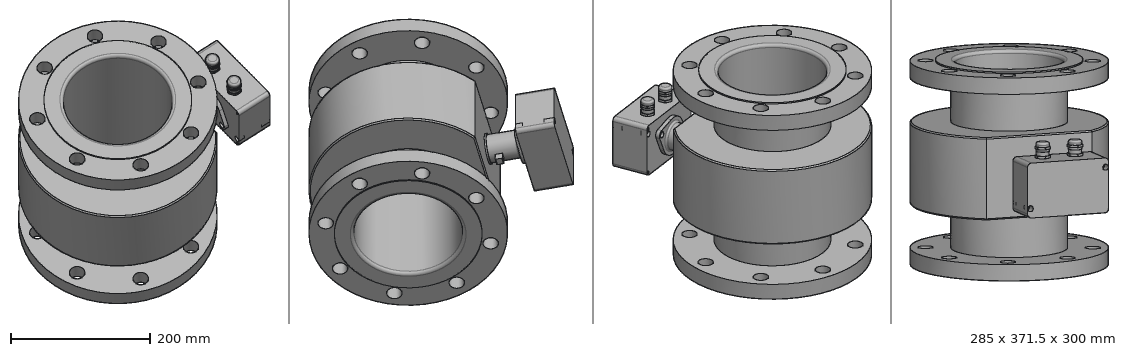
import cadquery as cq
import math

TUBE_LENGTH = 300.0
FLANGE_DIAMETER = 285.0
FLANGE_THICKNESS = 24.0
RAISED_FACE_DIAMETER = 212.0
RAISED_FACE_HEIGHT = 2.0
PIPE_DIAMETER = 168.0
BORE_DIAMETER = 156.0
BORE_LIP_RADIUS = 5.0
BOLT_COUNT = 8
BOLT_CIRCLE = 240.0
BOLT_HOLE_DIAMETER = 22.0

HOUSING_DIAMETER = 285.0
HOUSING_HEIGHT = 120.0
HOUSING_CHAMFER = 2.0
HOUSING_FLAT_Y = 117.0

BOX_BACK_Y = 229.0
BOX_DEPTH = 57.0
BOX_FRONT_Y = BOX_BACK_Y - BOX_DEPTH
PAD_HEIGHT = 0.5
PLATE_THICKNESS = 6.5
PLATE_BACK_Y = BOX_FRONT_Y - PAD_HEIGHT
PLATE_FRONT_Y = PLATE_BACK_Y - PLATE_THICKNESS

NECK_DIAMETER = 41.0
COLLAR_DIAMETER = 45.0
COLLAR_LENGTH = 2.5
NECK_FILLET = 3.0
PAD_DIAMETER = 39.7
PLATE_RADIUS = 29.0
EAR_RADIUS = 7.5
EAR_OFFSET = 35.0
EAR_TILT = 26.0
EAR_HOLE_DIAMETER = 9.0
LUG_WIDTH = 11.0
LUG_DROP = 30.0
LUG_CHAMFER = 1.0
LUG_Y = 134.5

BOX_WIDTH = 125.0
BOX_HEIGHT = 80.0
BOX_FILLET = 6.0
SCREW_X = 58.0
SCREW_Z = 26.5
SCREW_HOLE_DIAMETER = 4.8
SCREW_RECESS_DIAMETER = 8.5
FRONT_RECESS_DEPTH = 10.5
BACK_RECESS_DEPTH = 15.0
CORNER_HOLE_DIAMETER = 3.24
CORNER_HOLE_X = 58.5
CORNER_HOLE_Z = 35.0
CORNER_HOLE_DEPTH = 10.0

GLAND_SPACING = 50.0
GLAND_Y = 193.0
GLAND_HEX_FLATS = 19.8
GLAND_HEX_CHAMFER = 1.0
GLAND_HEX_HEIGHT = 3.5
GLAND_STEM_DIAMETER = 18.6
GLAND_CAP_DIAMETER = 19.8
GLAND_CAP_FILLET = 3.5
GLAND_STEM_TOP = 9.5
GLAND_CAP_HEX_BOTTOM = 13.0
GLAND_HEIGHT = 23.0


def disc_z(diameter, bottom, top):
    """Cylinder along Z between two heights."""
    return cq.Workplane("XY").workplane(offset=bottom).circle(diameter / 2).extrude(top - bottom)


def plane_y(y):
    """Workplane at the given Y whose normal points to -Y, with X to the right and Z up."""
    return cq.Workplane(cq.Plane(origin=(0, y, 0), xDir=(1, 0, 0), normal=(0, -1, 0)))


def disc_y(diameter, start, end, x=0.0, z=0.0):
    """Cylinder along Y between two Y positions."""
    return plane_y(start).center(x, z).circle(diameter / 2).extrude(start - end)


def make_housing():
    """Coil housing with a flat on its +Y side that carries the neck."""
    housing = disc_z(HOUSING_DIAMETER, -HOUSING_HEIGHT / 2, HOUSING_HEIGHT / 2)
    keep = cq.Workplane("XY").box(HOUSING_DIAMETER, HOUSING_DIAMETER, HOUSING_HEIGHT)
    keep = keep.translate((0, HOUSING_FLAT_Y - HOUSING_DIAMETER / 2, 0))
    return housing.intersect(keep).faces("|Z").edges().chamfer(HOUSING_CHAMFER)


def make_bore():
    """Bore through the whole tube, widened at both ends by a rounded lip."""
    radius = BORE_DIAMETER / 2
    end_radius = radius + BORE_LIP_RADIUS
    half = TUBE_LENGTH / 2
    lip_start = half - BORE_LIP_RADIUS
    lip_middle = BORE_LIP_RADIUS * math.sqrt(0.5)
    outline = (
        cq.Workplane("XZ")
        .moveTo(0, -half)
        .lineTo(end_radius, -half)
        .threePointArc((end_radius - lip_middle, -lip_start - lip_middle), (radius, -lip_start))
        .lineTo(radius, lip_start)
        .threePointArc((end_radius - lip_middle, lip_start + lip_middle), (end_radius, half))
        .lineTo(0, half)
        .close()
    )
    return outline.revolve(360, (0, 0, 0), (0, 1, 0))


def make_meter():
    """Pipe with two drilled flanges, their raised faces and the coil housing, bored through."""
    half = TUBE_LENGTH / 2
    flange_outer = half - RAISED_FACE_HEIGHT
    flange_inner = flange_outer - FLANGE_THICKNESS
    meter = disc_z(PIPE_DIAMETER, -flange_inner, flange_inner).union(make_housing())
    meter = meter.union(disc_z(RAISED_FACE_DIAMETER, -half, -flange_inner))
    meter = meter.union(disc_z(RAISED_FACE_DIAMETER, flange_inner, half))
    for bottom in (-flange_outer, flange_inner):
        flange = disc_z(FLANGE_DIAMETER, bottom, bottom + FLANGE_THICKNESS)
        holes = (
            cq.Workplane("XY")
            .workplane(offset=bottom)
            .polarArray(BOLT_CIRCLE / 2, 180 / BOLT_COUNT, 360, BOLT_COUNT)
            .circle(BOLT_HOLE_DIAMETER / 2)
            .extrude(FLANGE_THICKNESS)
        )
        meter = meter.union(flange.cut(holes))
    return meter.cut(make_bore())


def make_plate():
    """Two-ear plate: a disc and two small ears joined by their common tangents, lying in an XZ plane."""
    tangent_angle = math.acos((PLATE_RADIUS - EAR_RADIUS) / EAR_OFFSET)
    cos_t = math.cos(tangent_angle)
    sin_t = math.sin(tangent_angle)
    disc_tangent_x = PLATE_RADIUS * cos_t
    disc_tangent_z = PLATE_RADIUS * sin_t
    ear_x = EAR_OFFSET + EAR_RADIUS * cos_t
    ear_z = EAR_RADIUS * sin_t
    ear_tip = EAR_OFFSET + EAR_RADIUS
    outline = (
        plane_y(PLATE_BACK_Y)
        .moveTo(disc_tangent_x, disc_tangent_z)
        .lineTo(ear_x, ear_z)
        .threePointArc((ear_tip, 0), (ear_x, -ear_z))
        .lineTo(disc_tangent_x, -disc_tangent_z)
        .threePointArc((0, -PLATE_RADIUS), (-disc_tangent_x, -disc_tangent_z))
        .lineTo(-ear_x, -ear_z)
        .threePointArc((-ear_tip, 0), (-ear_x, ear_z))
        .lineTo(-disc_tangent_x, disc_tangent_z)
        .threePointArc((0, PLATE_RADIUS), (disc_tangent_x, disc_tangent_z))
        .close()
    )
    plate = outline.extrude(PLATE_THICKNESS)
    holes = (
        plane_y(PLATE_BACK_Y)
        .pushPoints([(-EAR_OFFSET, 0), (EAR_OFFSET, 0)])
        .circle(EAR_HOLE_DIAMETER / 2)
        .extrude(PLATE_THICKNESS)
    )
    return plate.cut(holes).rotate((0, 0, 0), (0, 1, 0), EAR_TILT)


def make_neck():
    """Neck tube with its ear plate and pad at the box, a collar at the housing and a lug below."""
    neck = make_plate().union(disc_y(NECK_DIAMETER, PLATE_FRONT_Y, HOUSING_FLAT_Y))
    plate_joint = cq.selectors.NearestToPointSelector((0, PLATE_FRONT_Y, 0))
    neck = neck.edges(plate_joint).fillet(NECK_FILLET)
    pad = disc_y(PAD_DIAMETER, BOX_FRONT_Y, PLATE_BACK_Y)
    collar = disc_y(COLLAR_DIAMETER, HOUSING_FLAT_Y + COLLAR_LENGTH, HOUSING_FLAT_Y)
    lug = (
        cq.Workplane("XY")
        .box(LUG_WIDTH, LUG_WIDTH, LUG_DROP, centered=(True, True, False))
        .faces("<Z")
        .edges("|X")
        .chamfer(LUG_CHAMFER)
        .translate((0, LUG_Y, -LUG_DROP))
    )
    return neck.union(pad).union(collar).union(lug)


def make_gland_hex(bottom, chamfered_face):
    """Gland hexagon with corners toward +Y and -Y; the corners of one end are turned off at an angle."""
    corner_diameter = GLAND_HEX_FLATS / math.cos(math.pi / 6)
    hexagon = cq.Workplane("XY").polygon(6, corner_diameter).extrude(GLAND_HEX_HEIGHT)
    hexagon = hexagon.rotate((0, 0, 0), (0, 0, 1), 90)
    turned = disc_z(corner_diameter, 0, GLAND_HEX_HEIGHT).faces(chamfered_face).chamfer(GLAND_HEX_CHAMFER)
    return hexagon.intersect(turned).translate((0, 0, bottom))


def make_gland():
    """Cable gland standing on z = 0."""
    cap = disc_z(GLAND_CAP_DIAMETER, GLAND_STEM_TOP, GLAND_HEIGHT).faces(">Z").edges().fillet(GLAND_CAP_FILLET)
    gland = disc_z(GLAND_STEM_DIAMETER, 0, GLAND_STEM_TOP).union(cap)
    gland = gland.union(make_gland_hex(0, "<Z"))
    return gland.union(make_gland_hex(GLAND_CAP_HEX_BOTTOM, ">Z"))


def make_terminal_box():
    """Rounded box with two recessed screw holes, four corner holes and two cable glands."""
    box = plane_y(BOX_BACK_Y).rect(BOX_WIDTH, BOX_HEIGHT).extrude(BOX_DEPTH).edges("|Y").fillet(BOX_FILLET)
    for side in (-1, 1):
        x = side * SCREW_X
        z = -side * SCREW_Z
        box = box.cut(disc_y(SCREW_HOLE_DIAMETER, BOX_BACK_Y, BOX_FRONT_Y, x, z))
        box = box.cut(disc_y(SCREW_RECESS_DIAMETER, BOX_FRONT_Y + FRONT_RECESS_DEPTH, BOX_FRONT_Y, x, z))
        box = box.cut(disc_y(SCREW_RECESS_DIAMETER, BOX_BACK_Y, BOX_BACK_Y - BACK_RECESS_DEPTH, x, z))
    for x in (-CORNER_HOLE_X, CORNER_HOLE_X):
        for z in (-CORNER_HOLE_Z, CORNER_HOLE_Z):
            box = box.cut(disc_y(CORNER_HOLE_DIAMETER, BOX_FRONT_Y + CORNER_HOLE_DEPTH, BOX_FRONT_Y, x, z))
    for x in (-GLAND_SPACING / 2, GLAND_SPACING / 2):
        box = box.union(make_gland().translate((x, GLAND_Y, BOX_HEIGHT / 2)))
    return box


meter = make_meter()
neck = make_neck()
terminal_box = make_terminal_box()

result = cq.Compound.makeCompound([meter.val(), neck.val(), terminal_box.val()])